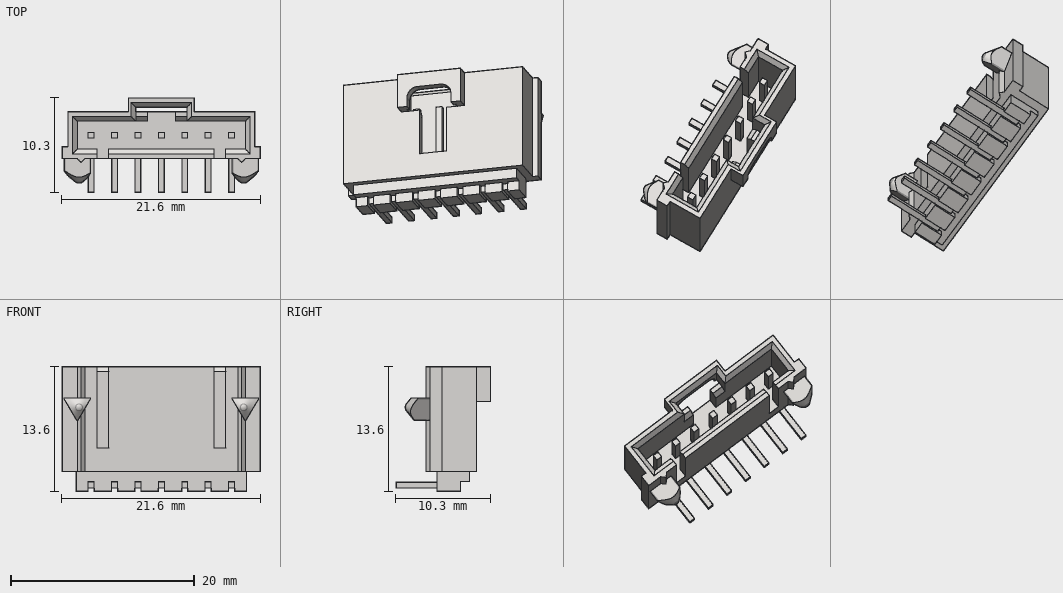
import cadquery as cq


flange_half_width = 10.8
flange_thickness = 1.32
housing_half_width = 10.2
housing_depth = 5.12
housing_height = 11.42
rim = 0.52
lead_in = 0.52
cavity_depth = 8.85

bridge_half_width = 3.58
bridge_rear = 6.63
bridge_height = 3.8
bridge_side_rim = 0.28
bridge_window_half_width = 2.5
bridge_window_top = 1.62
bridge_window_radius = 1.2
rear_slot_half_width = 1.53

slot_width = 1.25
slot_offset = 6.37
rib_offset = 8.75
rib_height = 0.4

base_half_width = 9.28
base_front = 0.78
base_rear_upper = 4.35
base_rear_lower = 3.37
base_step_depth = 12.52
total_height = 13.58

pin_count = 7
pin_pitch = 2.55
pin_size = 0.65
pin_row_y = 2.55
pin_top_depth = 2.8
tail_depth = 12.9
tail_reach = 3.67

peg_offset = 9.15
peg_top_depth = 3.4
peg_half_width = 1.51
peg_triangle_height = 2.55
peg_corner_radius = 0.09
peg_axis_offset = 8.95
peg_axis_depth = 4.43
peg_length = 2.68
peg_dome_radius = 0.37
peg_dome_base = 2.57
peg_cone_radius = 2.05
peg_cone_base = 1.19

wall = rim + lead_in
cavity_half_width = housing_half_width - wall
cavity_rear = housing_depth - wall
bridge_pocket_half_width = bridge_half_width - bridge_side_rim - lead_in
bridge_pocket_rear = bridge_rear - wall
pin_positions = [(i - (pin_count - 1) / 2) * pin_pitch for i in range(pin_count)]


def block(half_width, y_front, y_rear, depth_top, depth_bottom, x_center=0.0):
    """Box between two Y positions and two depths below the rim."""
    return cq.Workplane("XY").box(
        2 * half_width, y_rear - y_front, depth_bottom - depth_top, centered=(True, False, False)
    ).translate((x_center, y_front, -depth_bottom))


def mouth(half_width, y_front, y_rear, depth):
    """Pocket that widens at 45 degrees over its last stretch below the given depth."""
    return (
        cq.Workplane("XY", origin=(0, (y_front + y_rear) / 2, -depth - lead_in))
        .rect(2 * half_width, y_rear - y_front)
        .workplane(offset=lead_in)
        .rect(2 * (half_width + lead_in), y_rear - y_front + 2 * lead_in)
        .loft(ruled=True)
    )


def make_housing():
    body = block(housing_half_width, 0, housing_depth, 0, housing_height)
    body = body.union(block(flange_half_width, 0, flange_thickness, 0, housing_height))
    body = body.union(block(bridge_half_width, cavity_rear, bridge_rear, 0, bridge_height))

    body = body.cut(block(cavity_half_width, wall, cavity_rear, 0, cavity_depth))
    body = body.cut(mouth(cavity_half_width, wall, cavity_rear, 0))

    body = body.cut(block(bridge_pocket_half_width, wall, bridge_pocket_rear, 0, bridge_height))
    body = body.cut(mouth(bridge_pocket_half_width, wall, bridge_pocket_rear, 0))
    return body


def cut_rear_wall(body):
    ledge_lead_in = (
        cq.Workplane("YZ")
        .moveTo(cavity_rear, -bridge_height)
        .lineTo(cavity_rear + lead_in, -bridge_height)
        .lineTo(cavity_rear, -bridge_height - lead_in)
        .close()
        .extrude(bridge_pocket_half_width, both=True)
    )
    body = body.cut(ledge_lead_in)
    body = body.cut(block(rear_slot_half_width, cavity_rear, housing_depth, bridge_height, cavity_depth))

    window = block(
        bridge_window_half_width, bridge_pocket_rear, bridge_rear, bridge_window_top, bridge_height
    )
    return body.cut(window.edges("|Y and >Z").fillet(bridge_window_radius))


def make_rib(side):
    """Triangular rib running down the front face."""
    center = side * rib_offset
    return (
        cq.Workplane("XY")
        .moveTo(center - rib_height, 0)
        .lineTo(center, -rib_height)
        .lineTo(center + rib_height, 0)
        .close()
        .extrude(-housing_height)
    )


def make_base():
    base = block(base_half_width, base_front, base_rear_upper, housing_height, base_step_depth)
    base = base.union(
        block(base_half_width, base_front, base_rear_lower, base_step_depth, total_height)
    )
    for x in pin_positions:
        base = base.cut(
            block(pin_size / 2, base_front, base_rear_lower, base_step_depth, total_height, x)
        )
    return base


def make_pin(x):
    """Upright contact with a tail bent toward the front."""
    half = pin_size / 2
    rear = pin_row_y + half
    tail_bottom = tail_depth + half
    upright = block(half, pin_row_y - half, rear, pin_top_depth, tail_bottom, x)
    tail = block(half, -tail_reach, rear, tail_depth - half, tail_bottom, x)
    return upright.union(tail)


def make_peg(side):
    """Triangular peg whose end is turned to a cone with a domed tip."""
    center = side * peg_offset
    prism = (
        cq.Workplane("XZ")
        .moveTo(center - peg_half_width, -peg_top_depth)
        .lineTo(center + peg_half_width, -peg_top_depth)
        .lineTo(center, -peg_top_depth - peg_triangle_height)
        .close()
        .extrude(peg_length)
        .edges("|Y")
        .fillet(peg_corner_radius)
    )
    dome_height = peg_length - peg_dome_base
    sphere_radius = (peg_dome_radius**2 + dome_height**2) / (2 * dome_height)
    mid_height = dome_height - sphere_radius + (sphere_radius**2 - (peg_dome_radius / 2) ** 2) ** 0.5
    envelope = (
        cq.Workplane("XY")
        .lineTo(peg_cone_radius, 0)
        .lineTo(peg_cone_radius, -peg_cone_base)
        .lineTo(peg_dome_radius, -peg_dome_base)
        .threePointArc((peg_dome_radius / 2, -peg_dome_base - mid_height), (0, -peg_length))
        .close()
        .revolve(360, (0, 0, 0), (0, 1, 0))
        .translate((side * peg_axis_offset, 0, -peg_axis_depth))
    )
    return prism.intersect(envelope)


result = cut_rear_wall(make_housing()).union(make_base())
for side in (-1, 1):
    result = result.cut(block(slot_width / 2, 0, wall, 0, cavity_depth, side * slot_offset))
    result = result.union(make_rib(side))
    result = result.union(make_peg(side))
for pin_x in pin_positions:
    result = result.union(make_pin(pin_x))